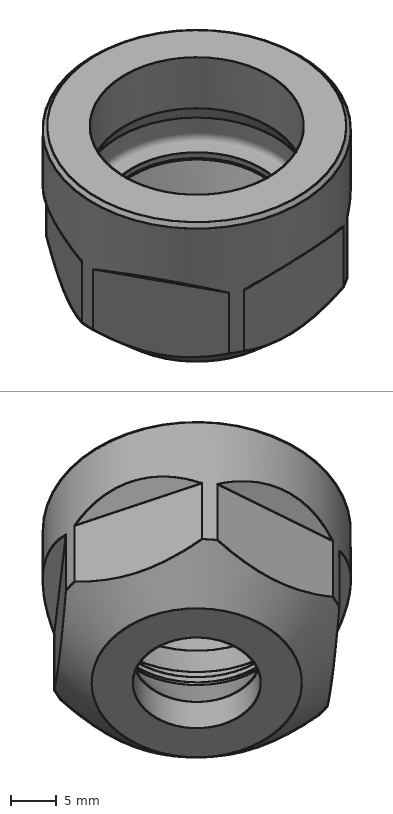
import cadquery as cq
import math

outer_diameter = 33.7
outer_radius = outer_diameter / 2
height = 24.0
top_chamfer = 0.5
nose_radius = 11.5
nose_height = outer_radius - nose_radius

flat_count = 6
flat_distance = 15.0
flat_top = 14.02
flat_depth = outer_radius - flat_distance

entry_radius = 23.4 / 2
entry_depth = 7.28
groove_radius = 25.5 / 2
groove_top_depth = 9.5
groove_floor_depth = 12.57
groove_fillet = 0.85
seat_radius = 21.0 / 2
seat_wall_depth = 13.38
seat_relief = 0.1
cone_radius = seat_radius + seat_relief
cone_depth = 13.68
exit_radius = 14.0 / 2
seat_half_angle = math.radians(30)
seat_cone_height = (cone_radius - exit_radius) / math.tan(seat_half_angle)


def make_body():
    """Round body with a conical nose and a chamfered top rim."""
    body = cq.Workplane("XY").circle(outer_radius).extrude(height)
    body = body.faces("<Z").chamfer(nose_height)
    return body.faces(">Z").chamfer(top_chamfer)


def make_flat_cutter():
    """Cutter for the flat on the -Y side, with a 45 degree run-out at its top."""
    clearance = flat_depth
    outside = flat_depth + clearance
    return (
        cq.Workplane("YZ")
        .moveTo(-flat_distance, 0)
        .lineTo(-flat_distance, flat_top)
        .lineTo(-flat_distance - outside, flat_top + outside)
        .lineTo(-flat_distance - outside, 0)
        .close()
        .extrude(outer_radius, both=True)
    )


def make_bore():
    """Revolved bore: entry, filleted groove, seat step with relief, seat cone and exit hole."""
    fillet_center_radius = groove_radius - groove_fillet
    fillet_center_z = height - groove_floor_depth + groove_fillet
    fillet_offset = groove_fillet * math.sqrt(0.5)
    cone_top = height - cone_depth
    return (
        cq.Workplane("XZ")
        .moveTo(0, height)
        .lineTo(entry_radius, height)
        .lineTo(entry_radius, height - entry_depth)
        .lineTo(groove_radius, height - groove_top_depth)
        .lineTo(groove_radius, fillet_center_z)
        .threePointArc(
            (fillet_center_radius + fillet_offset, fillet_center_z - fillet_offset),
            (fillet_center_radius, height - groove_floor_depth),
        )
        .lineTo(seat_radius, height - groove_floor_depth)
        .lineTo(seat_radius, height - seat_wall_depth)
        .lineTo(cone_radius, cone_top)
        .lineTo(exit_radius, cone_top - seat_cone_height)
        .lineTo(exit_radius, 0)
        .lineTo(0, 0)
        .close()
        .revolve(360, (0, 0, 0), (0, 1, 0))
    )


result = make_body()
flat_cutter = make_flat_cutter()
for index in range(flat_count):
    angle = index * 360 / flat_count
    result = result.cut(flat_cutter.rotate((0, 0, 0), (0, 0, 1), angle))
result = result.cut(make_bore())